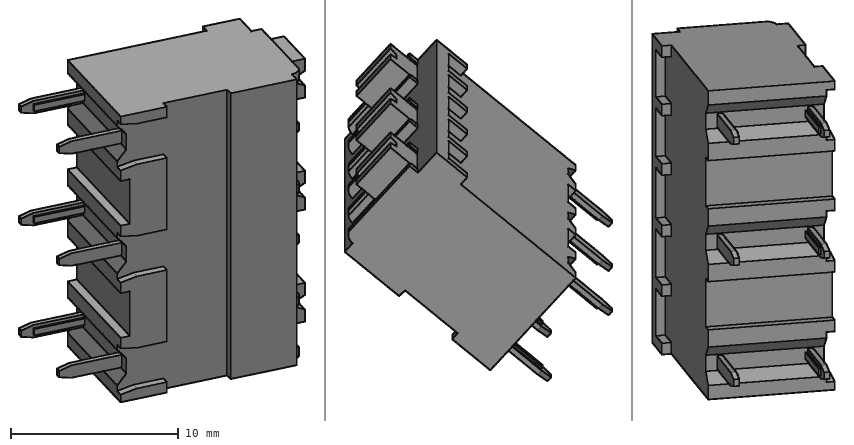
import cadquery as cq


width = 8.4
height = 19.44
half_height = height / 2
pole_pitch = 7.62
pole_positions = [-pole_pitch, 0, pole_pitch]
housing_back = 11.55

channel_depth = 0.6
channel_floor_half = 0.5
channel_mouth_half = 1.2
land_half = 2.3

rail_thickness = 0.58
rail_inner_edge = 10.6
prong_end = 9.12
prong_thickness = 0.72

groove_depth = 0.5
groove_start = 3.03
groove_end = 7.2
groove_wall_lean = 0.04
slot_half = 1.57
slot_taper_height = 0.2
slot_taper_length = 1.07

guide_start = 1.71
guide_end = 7.68
guide_back = 12.2
guide_half = 2.0
guide_corner_start = 7.27
guide_corner_middle = (7.56, 11.94)
guide_gap_half = 1.42
guide_chamfer = 0.17

plunger_start = 1.79
plunger_end = 4.9
plunger_back = 13.65
plunger_half = 1.32
notch_depth = 0.5
notch_mouth_half = 0.5
notch_floor_half = 0.25

pin_tip = -3.5
pin_taper_start = -2.7
pin_thickness = 0.35
pin_half = 0.43
pin_tip_half = 0.21
pin_pair_span = 5.93
pin_first_face = 1.28
rib_thickness = 0.14


def box(x_range, y_range, z_range):
    """Axis-aligned block between the given limits."""
    spans = [high - low for low, high in (x_range, y_range, z_range)]
    corner = (x_range[0], y_range[0], z_range[0])
    return cq.Workplane("XY").box(*spans, centered=False).translate(corner)


def side_profile(points, x_range):
    """Closed outline of (y, z) points, extruded along X."""
    outline = cq.Workplane("YZ", origin=(x_range[0], 0, 0)).polyline(points).close()
    return outline.extrude(x_range[1] - x_range[0])


def symmetric_profile(upper_points, x_range, pole):
    """Outline mirrored about the pole, given by the (y, offset) points on its upper half."""
    upper = [(y, pole + offset) for y, offset in upper_points]
    lower = [(y, pole - offset) for y, offset in reversed(upper_points)]
    return side_profile(upper + lower, x_range)


def housing():
    """Body with its rail, prongs, pin-side channels and recesses, and +X groove and slots."""
    body = box((0, width), (0, housing_back), (-half_height, half_height))

    body = body.cut(box((0, rail_thickness), (0, rail_inner_edge), (-half_height, half_height)))
    prong_bottoms = [-half_height, half_height - prong_thickness]
    for pole in pole_positions[:-1]:
        prong_bottoms.append(pole + land_half - prong_thickness)
        prong_bottoms.append(pole + pole_pitch - land_half)
    for bottom in prong_bottoms:
        prong_span = (bottom, bottom + prong_thickness)
        body = body.union(box((0, rail_thickness), (prong_end, rail_inner_edge), prong_span))

    for pole in pole_positions[:-1]:
        recess = (pole + land_half, pole + pole_pitch - land_half)
        body = body.cut(box((0, width), (0, channel_depth), recess))

    groove_floor = width - groove_depth
    groove = (
        cq.Workplane("XY", origin=(0, 0, -half_height))
        .moveTo(width, groove_start)
        .lineTo(groove_floor, groove_start)
        .lineTo(groove_floor, groove_end)
        .lineTo(width, groove_end + groove_wall_lean)
        .close()
        .extrude(height)
    )
    body = body.cut(groove)

    channel = [(0, channel_mouth_half), (channel_depth, channel_floor_half)]
    slot = [
        (0, slot_half),
        (slot_taper_length, slot_half - slot_taper_height),
        (groove_start, slot_half - slot_taper_height),
    ]
    for pole in pole_positions:
        body = body.cut(symmetric_profile(channel, (0, width), pole))
        body = body.cut(symmetric_profile(slot, (groove_floor, width), pole))
    return body


def guide(pole):
    """Raised pad with one rounded corner, split by a gap with a chamfered mouth."""
    bottom = -half_height if pole == pole_positions[0] else pole - guide_half
    top = half_height if pole == pole_positions[-1] else pole + guide_half
    pad = (
        cq.Workplane("XY", origin=(0, 0, bottom))
        .moveTo(guide_start, housing_back)
        .lineTo(guide_start, guide_back)
        .lineTo(guide_corner_start, guide_back)
        .threePointArc(guide_corner_middle, (guide_end, housing_back))
        .close()
        .extrude(top - bottom)
    )
    gap = [
        (housing_back, guide_gap_half),
        (guide_back - guide_chamfer, guide_gap_half),
        (guide_back, guide_gap_half + guide_chamfer),
    ]
    return pad.cut(symmetric_profile(gap, (guide_start, guide_end), pole))


def plunger(pole):
    """Rectangular push button with a tapered notch across its end."""
    profile = [
        (housing_back, plunger_half),
        (plunger_back, plunger_half),
        (plunger_back, notch_mouth_half),
        (plunger_back - notch_depth, notch_floor_half),
    ]
    return symmetric_profile(profile, (plunger_start, plunger_end), pole)


def pin_pair(pole):
    """Two flat pins with tapered tips and a rib along their facing sides."""
    blade = [
        (channel_depth, pin_half),
        (pin_taper_start, pin_half),
        (pin_tip, pin_tip_half),
    ]
    blade_end = pin_first_face + pin_thickness
    first = symmetric_profile(blade, (pin_first_face, blade_end), pole)
    rib = box(
        (blade_end, blade_end + rib_thickness),
        (pin_taper_start, channel_depth),
        (pole - pin_tip_half, pole + pin_tip_half),
    )
    first = first.union(rib)
    pair_middle = pin_first_face + pin_pair_span / 2
    second = first.mirror("YZ", basePointVector=(pair_middle, 0, 0))
    return first.union(second)


result = housing()
for pole in pole_positions:
    result = result.union(guide(pole)).union(plunger(pole)).union(pin_pair(pole))